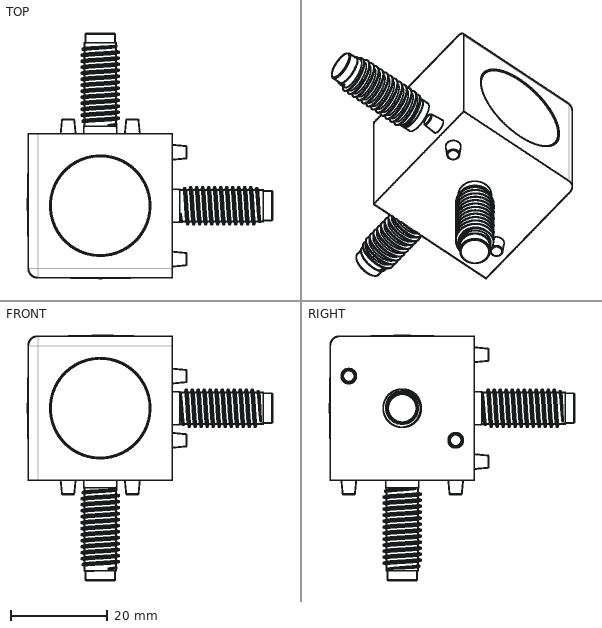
import cadquery as cq
import math


cube_size = 30.0
half_cube = cube_size / 2
edge_radius = 2.0

cap_diameter = 20.5
pocket_mouth_diameter = 21.0
cap_rim_depth = 0.13
cap_crown_height = 0.15
cap_edge_thickness = 1.0
pocket_depth = cap_rim_depth + cap_edge_thickness

pin_base_diameter = 3.15
pin_tip_diameter = 2.6
pin_length = 3.0
pin_chamfer = 0.15
pin_near_offset = 6.7
pin_far_offset = 11.1

total_size = 51
stud_length = total_size - cube_size - cap_crown_height
shank_diameter = 6.95
shank_length = 1.55
core_diameter = 6.65
tip_diameter = 6.2
tip_length = 2.0
tip_chamfer = 0.2

thread_diameter = 7.95
thread_start = 1.35
full_thread_turns = 11.4
fade_turns = 1.3
ten_pitches = 12.5
thread_pitch = ten_pitches / 10
ridge_root_width = 0.75
ridge_crest_width = 0.2
ridge_root_embed = 0.25
ridge_end_embed = 0.23

core_radius = core_diameter / 2
thread_radius = thread_diameter / 2
ridge_root_radius = core_radius - ridge_root_embed
ridge_end_radius = core_radius - ridge_end_embed

cap_planes = [
    cq.Plane(origin=(-half_cube, 0, 0), xDir=(0, 1, 0), normal=(-1, 0, 0)),
    cq.Plane(origin=(0, -half_cube, 0), xDir=(1, 0, 0), normal=(0, -1, 0)),
    cq.Plane(origin=(0, 0, half_cube), xDir=(1, 0, 0), normal=(0, 0, 1)),
]
right_stud_plane = cq.Plane(origin=(half_cube, 0, 0), xDir=(0, 1, 0), normal=(1, 0, 0))
rear_stud_plane = cq.Plane(origin=(0, half_cube, 0), xDir=(-1, 0, 0), normal=(0, 1, 0))
bottom_stud_plane = cq.Plane(origin=(0, 0, -half_cube), xDir=(-1, 0, 0), normal=(0, 0, -1))
stud_planes = [right_stud_plane, rear_stud_plane, bottom_stud_plane]

pin_places = [
    (right_stud_plane, -pin_far_offset, pin_near_offset),
    (rear_stud_plane, -pin_near_offset, pin_far_offset),
    (bottom_stud_plane, -pin_near_offset, -pin_far_offset),
]


def revolve_about_z(outline):
    """Solid of revolution from a closed outline in the XZ plane."""
    return outline.close().revolve(360, (0, 0), (0, 1)).val()


def make_pocket():
    """Cutter for a cap pocket: a round hole with a bevelled mouth, its face plane at Z = 0."""
    cap_radius = cap_diameter / 2
    outline = (
        cq.Workplane("XZ")
        .lineTo(pocket_mouth_diameter / 2, 0)
        .lineTo(cap_radius, -cap_rim_depth)
        .lineTo(cap_radius, -pocket_depth)
        .lineTo(0, -pocket_depth)
    )
    return revolve_about_z(outline)


def make_pin():
    """Tapered locating pin with a chamfered tip, its axis along Z and its base at Z = 0."""
    tip_radius = pin_tip_diameter / 2
    outline = (
        cq.Workplane("XZ")
        .lineTo(pin_base_diameter / 2, 0)
        .lineTo(tip_radius, pin_length - pin_chamfer)
        .lineTo(tip_radius - pin_chamfer, pin_length)
        .lineTo(0, pin_length)
    )
    return revolve_about_z(outline)


def make_housing():
    """Cube rounded along the three edges that meet at one corner, with pockets and pins."""
    housing = cq.Workplane("XY").box(cube_size, cube_size, cube_size)
    meeting_edges = (
        housing.edges("<X and <Y").vals()
        + housing.edges("<X and >Z").vals()
        + housing.edges("<Y and >Z").vals()
    )
    housing = housing.newObject(meeting_edges).fillet(edge_radius)
    pocket = make_pocket()
    for plane in cap_planes:
        housing = housing.cut(cq.Workplane(pocket.moved(cq.Location(plane))))
    pin = make_pin()
    for plane, x, y in pin_places:
        for side in (1, -1):
            pin_at_place = pin.moved(cq.Location(cq.Vector(side * x, side * y, 0)))
            housing = housing.union(cq.Workplane(pin_at_place.moved(cq.Location(plane))))
    return housing


def make_cap():
    """Round cap with a shallow spherical dome, its axis along Z and the face plane at Z = 0."""
    cap_radius = cap_diameter / 2
    dome_rise = cap_rim_depth + cap_crown_height
    dome_radius = (cap_radius**2 + dome_rise**2) / (2 * dome_rise)
    dome_centre = cap_crown_height - dome_radius
    mid_radius = cap_radius / 2
    mid_height = dome_centre + math.sqrt(dome_radius**2 - mid_radius**2)
    outline = (
        cq.Workplane("XZ")
        .moveTo(0, -pocket_depth)
        .lineTo(cap_radius, -pocket_depth)
        .lineTo(cap_radius, -cap_rim_depth)
        .threePointArc((mid_radius, mid_height), (0, cap_crown_height))
    )
    return revolve_about_z(outline)


def make_helix(start_radius, end_radius, turns, start_height):
    """Helix about Z whose radius changes evenly from start to end, its first point over the X axis."""
    climb = turns * thread_pitch
    if start_radius == end_radius:
        helix = cq.Wire.makeHelix(thread_pitch, climb, start_radius)
    else:
        slope = math.atan((end_radius - start_radius) / climb)
        stretch = 1 / math.cos(slope)
        helix = cq.Wire.makeHelix(
            thread_pitch * stretch, climb * stretch, start_radius, angle=math.degrees(slope)
        )
    return helix.moved(cq.Location(cq.Vector(0, 0, start_height)))


def make_ridge_sides(start_crest, end_crest, turns, middle_height):
    """The four long faces of a stretch of thread ridge, given its crest radius at both ends."""
    half_root = ridge_root_width / 2
    half_crest = ridge_crest_width / 2
    edges = [
        make_helix(ridge_root_radius, ridge_root_radius, turns, middle_height - half_root),
        make_helix(start_crest, end_crest, turns, middle_height - half_crest),
        make_helix(start_crest, end_crest, turns, middle_height + half_crest),
        make_helix(ridge_root_radius, ridge_root_radius, turns, middle_height + half_root),
    ]
    return [cq.Face.makeRuledSurface(edges[i - 1], edges[i]) for i in range(4)]


def make_ridge_end(turns, middle_height):
    """Flat end face of the thread ridge, inside the core, the given turns from the X axis."""
    half_root = ridge_root_width / 2
    half_crest = ridge_crest_width / 2
    section = [
        (ridge_root_radius, -half_root),
        (ridge_end_radius, -half_crest),
        (ridge_end_radius, half_crest),
        (ridge_root_radius, half_root),
    ]
    angle = 2 * math.pi * turns
    corners = [
        cq.Vector(radius * math.cos(angle), radius * math.sin(angle), middle_height + height)
        for radius, height in section
    ]
    return cq.Face.makeFromWires(cq.Wire.makePolygon(corners, close=True))


def make_thread():
    """Helical ridge that rises out of the core, runs at full height and sinks back into the core."""
    stretches = [
        (ridge_end_radius, thread_radius, fade_turns),
        (thread_radius, thread_radius, full_thread_turns),
        (thread_radius, ridge_end_radius, fade_turns),
    ]
    faces = [make_ridge_end(0, thread_start)]
    done_turns = 0
    for start_crest, end_crest, turns in stretches:
        middle_height = thread_start + done_turns * thread_pitch
        turned = cq.Location(cq.Vector(), cq.Vector(0, 0, 1), 360 * done_turns)
        sides = make_ridge_sides(start_crest, end_crest, turns, middle_height)
        faces += [side.moved(turned) for side in sides]
        done_turns += turns
    faces.append(make_ridge_end(done_turns, thread_start + done_turns * thread_pitch))
    return cq.Workplane(cq.Solid.makeSolid(cq.Shell.makeShell(faces)))


def make_stud():
    """Threaded stud, its axis along Z and its base at Z = 0."""
    body = (
        cq.Workplane("XY")
        .circle(core_radius)
        .extrude(stud_length - tip_length)
        .faces(">Z").workplane()
        .circle(tip_diameter / 2)
        .extrude(tip_length)
        .faces(">Z").chamfer(tip_chamfer)
    )
    shank = cq.Workplane("XY").circle(shank_diameter / 2).extrude(shank_length)
    return body.union(make_thread()).union(shank)


housing = make_housing()
cap = make_cap()
stud = make_stud().val()
caps = [cap.moved(cq.Location(plane)) for plane in cap_planes]
studs = [stud.moved(cq.Location(plane)) for plane in stud_planes]

result = cq.Compound.makeCompound([housing.val(), *caps, *studs])